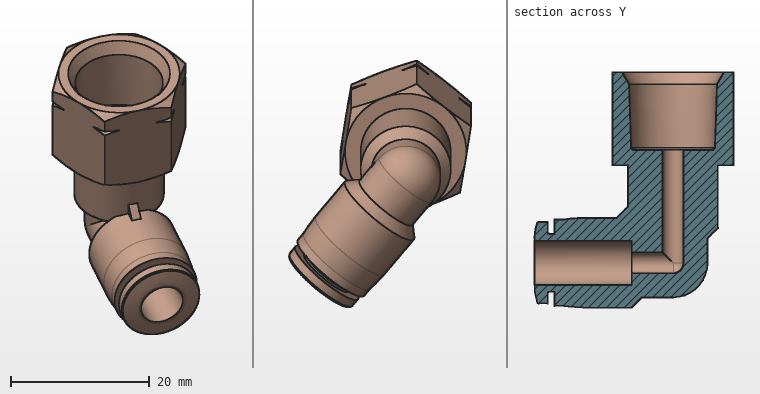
import cadquery as cq
import math


barrel_radius = 13.0 / 2
elbow_radius = 5.0
elbow_reach = 4.5
stem_cone_start = 3.5
cone_length = barrel_radius - elbow_radius

total_height = 34.0
head_top = total_height - barrel_radius
head_height = 13.45
head_bottom = head_top - head_height
across_flats = 17.48
flat_radius = across_flats / 2
corner_radius = flat_radius / math.cos(math.radians(30))
corner_chamfer_height = (corner_radius - flat_radius) * math.tan(math.radians(30))

notch_root_radius = 9.18
notch_half_height = 0.37
notch_depth_from_top = 3.0
notch_z = head_top - notch_depth_from_top

mouth_radius = 14.7 / 2
bore_radius = 12.65 / 2
thread_taper = 1 / 16
bore_floor_radius = 11.45 / 2
bore_depth = 11.22
mouth_depth = 1.77
bore_floor_z = head_top - bore_depth
bore_end_radius = bore_radius - thread_taper / 2 * (bore_depth - mouth_depth)
floor_chamfer = bore_end_radius - bore_floor_radius

barrel_end = 12.75
taper_end = 15.78
rim_end = 17.1
rim_radius = 12.5 / 2
neck_radius = 8.35 / 2
neck_flare_start = 17.75
neck_flare_height = 0.1
collar_start = 18.05
collar_radius = 11.8 / 2
collar_bevel_start = 19.35
collar_bevel_height = 0.1
collar_edge = 19.6
total_length = 28.73
branch_end = total_length - flat_radius
collar_face_radius = 3.47
collar_bulge_x = 19.85
collar_bulge_radius = 4.83

passage_radius = 3.0 / 2
socket_radius = 6.35 / 2
socket_floor = elbow_reach + cone_length
rib_thickness = 1.35
rib_leg = 14.62


def corner_cutting_body():
    """Body of revolution that bevels and notches the hexagon corners."""
    outer = corner_radius
    profile = (
        cq.Workplane("XZ")
        .moveTo(0, head_bottom)
        .lineTo(flat_radius, head_bottom)
        .lineTo(outer, head_bottom + corner_chamfer_height)
        .lineTo(outer, notch_z - notch_half_height)
        .lineTo(notch_root_radius, notch_z)
        .lineTo(outer, notch_z + notch_half_height)
        .lineTo(outer, head_top - corner_chamfer_height)
        .lineTo(flat_radius, head_top)
        .lineTo(0, head_top)
        .close()
    )
    return profile.revolve(360, (0, 0, 0), (0, 1, 0))


def make_head():
    hexagon = (
        cq.Workplane("XY")
        .workplane(offset=head_bottom)
        .polygon(6, 2 * corner_radius)
        .extrude(head_height)
        .rotate((0, 0, 0), (0, 0, 1), 30)
    )
    return hexagon.intersect(corner_cutting_body())


def make_stem():
    profile = (
        cq.Workplane("XZ")
        .lineTo(elbow_radius, 0)
        .lineTo(elbow_radius, stem_cone_start)
        .lineTo(barrel_radius, stem_cone_start + cone_length)
        .lineTo(barrel_radius, head_bottom)
        .lineTo(0, head_bottom)
        .close()
    )
    return profile.revolve(360, (0, 0, 0), (0, 1, 0))


def make_branch():
    profile = (
        cq.Workplane("XZ")
        .lineTo(0, elbow_radius)
        .lineTo(elbow_reach, elbow_radius)
        .lineTo(elbow_reach + cone_length, barrel_radius)
        .lineTo(barrel_end, barrel_radius)
        .tangentArcPoint((taper_end, rim_radius), relative=False)
        .lineTo(rim_end, rim_radius)
        .lineTo(rim_end, neck_radius)
        .lineTo(neck_flare_start, neck_radius)
        .lineTo(collar_start, neck_radius + neck_flare_height)
        .lineTo(collar_start, collar_radius)
        .lineTo(collar_bevel_start, collar_radius)
        .lineTo(collar_edge, collar_radius - collar_bevel_height)
        .threePointArc((collar_bulge_x, collar_bulge_radius), (branch_end, collar_face_radius))
        .lineTo(branch_end, 0)
        .close()
    )
    return profile.revolve(360, (0, 0, 0), (1, 0, 0))


def make_rib():
    """Triangular web in the inner corner between the two barrels."""
    return (
        cq.Workplane("XZ")
        .polyline([(0, 0), (rib_leg, 0), (0, rib_leg)])
        .close()
        .extrude(rib_thickness / 2, both=True)
    )


def make_head_bore():
    profile = (
        cq.Workplane("XZ")
        .moveTo(0, bore_floor_z)
        .lineTo(bore_floor_radius, bore_floor_z)
        .lineTo(bore_end_radius, bore_floor_z + floor_chamfer)
        .lineTo(bore_radius, head_top - mouth_depth)
        .lineTo(mouth_radius, head_top)
        .lineTo(0, head_top)
        .close()
    )
    return profile.revolve(360, (0, 0, 0), (0, 1, 0))


def make_passage():
    """Right-angle flow passage with a rounded corner, opening into the tube socket."""
    vertical = cq.Workplane("XY").circle(passage_radius).extrude(head_top)
    horizontal = cq.Workplane("YZ").circle(passage_radius).extrude(branch_end)
    corner = cq.Workplane("XY").sphere(passage_radius)
    socket = (
        cq.Workplane("YZ")
        .workplane(offset=socket_floor)
        .circle(socket_radius)
        .extrude(branch_end - socket_floor)
    )
    return vertical.union(horizontal).union(corner).union(socket)


elbow_corner = cq.Workplane("XY").sphere(elbow_radius)
solid_fitting = make_stem()
for piece in (make_branch(), elbow_corner, make_rib(), make_head()):
    solid_fitting = solid_fitting.union(piece)

result = solid_fitting.cut(make_head_bore()).cut(make_passage())